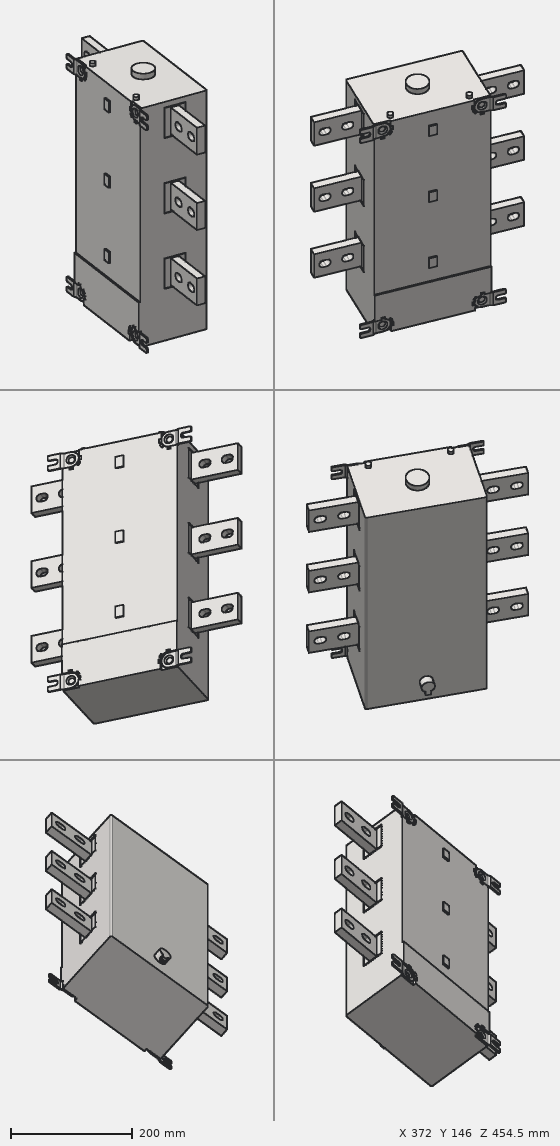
import cadquery as cq

TOTAL_HEIGHT = 454.5
BODY_WIDTH = 207.0
BODY_HEIGHT = 443.5
BODY_BACK = 131.5
BACK_EDGE_RADIUS = 2.5
SHEET = 2.5
BODY_FRONT = SHEET
COVER_HEIGHT = 84.0

POLE_PITCH = 140.0
LOWEST_POLE_Z = 124.0
POLE_COUNT = 3
POLE_HEIGHTS = [LOWEST_POLE_Z + i * POLE_PITCH for i in range(POLE_COUNT)]
BAR_SPAN = 372.0
BAR_THICKNESS = 15.5
BAR_HEIGHT = 50.0
BAR_Y = 70.5
SLOT_X = (126.5, 167.0)
SLOT_LENGTH = 20.0
SLOT_WIDTH = 14.0
WINDOW_DEPTH = 2.0
WINDOW_WIDTH = 40.5
WINDOW_HEIGHT = 56.0
LABEL_WIDTH = 13.5
LABEL_HEIGHT = 20.5

BRACKET_X = 88.0
BRACKET_INSET = 15.0
BRACKET_WIDTH = 27.5
FOOT_TIP_X = 129.0
FOOT_TIP_RADIUS = 2.3
FOOT_SLOT_WIDTH = 9.5
FOOT_SLOT_END_X = 111.0
JOG_OUTER_X = 106.5
JOG_INNER_X = 101.0
JOG_BEND_RADIUS = 3.5
SINK_RADIUS = 8.0
SINK_FLOOR_RADIUS = 5.5

RECESS_FLOOR = 2 * SHEET
RECESS_CLEARANCE = 0.23
NOTCH_REACH = 18.0
NOTCH_WIDTH = 6.5
NOTCH_DEPTH = 1.5
NOTCH_FLOOR = BODY_FRONT + NOTCH_DEPTH
NOTCH_ANGLES = (0, 36, 90)

TOP_KNOB_RADIUS = 19.5
TOP_KNOB_HEIGHT = TOTAL_HEIGHT - BODY_HEIGHT
PIN_RADIUS = 5.0
PIN_HEIGHT = 6.0
PIN_X = 70.0
PIN_Y = 15.0
BACK_KNOB_RADIUS = 11.5
BACK_KNOB_LENGTH = 14.5
BACK_KNOB_Z = 42.0
LUG_WIDTH = 9.0
LUG_BOTTOM = 23.5
LUG_LENGTH = 9.5
LUG_GROOVE_START = 5.5
LUG_GROOVE_WIDTH = 2.0
LUG_GROOVE_DEPTH = 2.5


def box(x0, x1, y0, y1, z0, z1):
    """Box between two opposite corners."""
    return cq.Workplane("XY").box(x1 - x0, y1 - y0, z1 - z0, centered=False).translate((x0, y0, z0))


def on_front(y):
    """Sketch plane at depth y: local axes are X and Z, negative extrusion runs toward +Y."""
    return cq.Workplane("XZ", origin=(0, y, 0))


def enclosure():
    """Box with rounded rear edges and a full-width cover over its lower front."""
    half = BODY_WIDTH / 2
    body = box(-half, half, BODY_FRONT, BODY_BACK, 0, BODY_HEIGHT)
    body = body.edges("|Z and >Y").fillet(BACK_EDGE_RADIUS)
    cover = box(-half, half, 0, BODY_FRONT, 0, COVER_HEIGHT)
    return body.union(cover)


def pole_windows():
    """Shallow rectangular recesses around the terminal bars, on both sides."""
    centre_x = (BODY_WIDTH - WINDOW_DEPTH) / 2
    windows = cq.Workplane("XY")
    for z in POLE_HEIGHTS:
        for side in (-1, 1):
            window = cq.Workplane("XY").box(WINDOW_DEPTH, WINDOW_WIDTH, WINDOW_HEIGHT)
            windows = windows.add(window.translate((side * centre_x, BAR_Y, z)))
    return windows.combine()


def terminal_bar(z):
    """Bar across the whole width with two slotted holes at each end."""
    bar = cq.Workplane("XY").box(BAR_SPAN, BAR_THICKNESS, BAR_HEIGHT)
    places = [(side * x, 0) for side in (-1, 1) for x in SLOT_X]
    slots = on_front(0).pushPoints(places).slot2D(SLOT_LENGTH, SLOT_WIDTH)
    bar = bar.cut(slots.extrude(BAR_THICKNESS, both=True))
    return bar.translate((0, BAR_Y, z))


def label(z):
    """Small raised plate on the front face."""
    half = LABEL_WIDTH / 2
    return box(-half, half, 0, BODY_FRONT, z - LABEL_HEIGHT / 2, z + LABEL_HEIGHT / 2)


def bracket_disc(y_front, radius):
    """Disc about the lower +X screw axis, from y_front to the recess floor."""
    disc = on_front(y_front).circle(radius).extrude(y_front - RECESS_FLOOR)
    return disc.translate((BRACKET_X, 0, BRACKET_INSET))


def corner_recess():
    """Cutter for the lower +X corner, open toward the side and the bottom of the body."""
    side = BODY_WIDTH / 2
    z = BRACKET_INSET
    radius = BRACKET_WIDTH / 2 + RECESS_CLEARANCE
    below = box(BRACKET_X - radius, side, 0, RECESS_FLOOR, 0, z)
    beside = box(BRACKET_X, side, 0, RECESS_FLOOR, 0, z + radius)
    recess = below.union(beside).union(bracket_disc(0, radius))
    for angle in NOTCH_ANGLES:
        notch = box(-NOTCH_REACH, 0, 0, NOTCH_FLOOR, -NOTCH_WIDTH / 2, NOTCH_WIDTH / 2)
        notch = notch.rotate((0, 0, 0), (0, 1, 0), angle)
        recess = recess.union(notch.translate((BRACKET_X, 0, z)))
    return recess


def bracket():
    """Joggled mounting foot for the lower +X corner, with a countersunk screw hole."""
    z = BRACKET_INSET
    half = BRACKET_WIDTH / 2
    profile = [
        (FOOT_TIP_X, 0),
        (JOG_OUTER_X, 0),
        (JOG_INNER_X, SHEET),
        (BRACKET_X, SHEET),
        (BRACKET_X, 2 * SHEET),
        (JOG_INNER_X, 2 * SHEET),
        (JOG_OUTER_X, SHEET),
        (FOOT_TIP_X, SHEET),
    ]
    foot = cq.Workplane("XY").polyline(profile).close().extrude(BRACKET_WIDTH)
    inner_bend = cq.selectors.NearestToPointSelector((JOG_INNER_X, SHEET, half))
    foot = foot.edges(inner_bend).fillet(JOG_BEND_RADIUS).translate((0, 0, z - half))

    slot_half = FOOT_SLOT_WIDTH / 2
    slot_axis_x = FOOT_SLOT_END_X + slot_half
    slot = on_front(0).center(slot_axis_x, z).circle(slot_half).extrude(-SHEET)
    slot = slot.union(box(slot_axis_x, FOOT_TIP_X, 0, SHEET, z - slot_half, z + slot_half))
    foot = foot.cut(slot)
    foot = foot.edges("|Y and >X").fillet(FOOT_TIP_RADIUS)

    sink = cq.Solid.makeCone(
        SINK_RADIUS, SINK_FLOOR_RADIUS, SHEET, cq.Vector(BRACKET_X, SHEET, z), cq.Vector(0, 1, 0)
    )
    return foot.union(bracket_disc(SHEET, half)).cut(cq.Workplane(obj=sink))


def at_corners(shape):
    """Copies of a lower +X corner shape, mirrored to all four corners."""
    lower = shape.union(shape.mirror("YZ"))
    upper = lower.mirror("XY").translate((0, 0, BODY_HEIGHT))
    return lower.union(upper)


def top_fittings():
    """Round knob and two pins on the top face."""
    top = cq.Workplane("XY").workplane(offset=BODY_HEIGHT)
    knob = top.center(0, BAR_Y).circle(TOP_KNOB_RADIUS).extrude(TOP_KNOB_HEIGHT)
    pins = top.pushPoints([(-PIN_X, PIN_Y), (PIN_X, PIN_Y)]).circle(PIN_RADIUS).extrude(PIN_HEIGHT)
    return knob.union(pins)


def back_knob():
    """Round knob on the back with a grooved lug below it."""
    end = BODY_BACK + BACK_KNOB_LENGTH
    half = LUG_WIDTH / 2
    knob = on_front(BODY_BACK).center(0, BACK_KNOB_Z).circle(BACK_KNOB_RADIUS).extrude(-BACK_KNOB_LENGTH)
    lug = box(-half, half, end - LUG_LENGTH, end, LUG_BOTTOM, BACK_KNOB_Z)
    groove_end = end - LUG_GROOVE_START
    groove = box(
        -half, half, groove_end - LUG_GROOVE_WIDTH, groove_end, LUG_BOTTOM, LUG_BOTTOM + LUG_GROOVE_DEPTH
    )
    return knob.union(lug.cut(groove))


result = enclosure().cut(pole_windows())
for pole_z in POLE_HEIGHTS:
    result = result.union(terminal_bar(pole_z)).union(label(pole_z))
result = result.cut(at_corners(corner_recess())).union(at_corners(bracket()))
result = result.union(top_fittings()).union(back_knob())